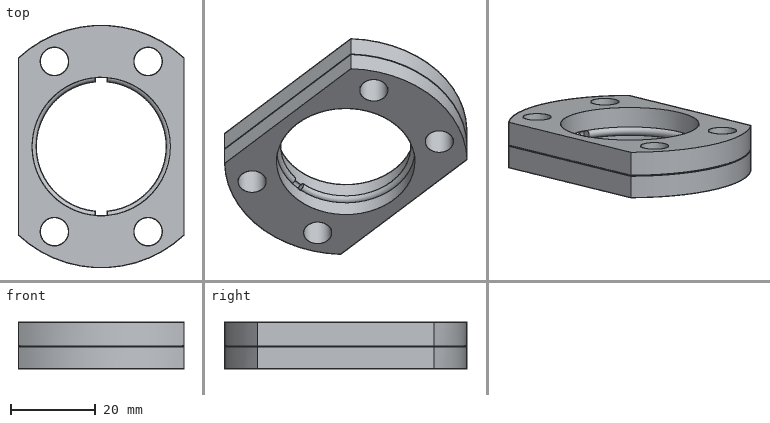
import cadquery as cq

disc_diameter = 57.0
width_across_flats = 39.0
thickness = 11.0
bore_diameter = 32.5

hole_diameter = 6.6
hole_spacing_x = 22.0
hole_spacing_y = 40.0

parting_height = 5.3
parting_groove_width = 0.2
parting_groove_depth = 0.5

ring_radius = bore_diameter / 2
wire_radius = 1.0
ring_gap_half_angle = 5.0
ring_gap_centres = (90.0, 270.0)
ring_arc_angle = 180.0 - 2 * ring_gap_half_angle


def flatted_disc(diameter, across_flats, height):
    """Disc standing on Z = 0 with flats facing -X and +X."""
    disc = cq.Workplane("XY").circle(diameter / 2).extrude(height)
    slab = cq.Workplane("XY").rect(across_flats, diameter).extrude(height)
    return disc.intersect(slab)


def flange_body():
    body = flatted_disc(disc_diameter, width_across_flats, thickness)
    bore = cq.Workplane("XY").circle(bore_diameter / 2).extrude(thickness)
    holes = (
        cq.Workplane("XY")
        .rect(hole_spacing_x, hole_spacing_y, forConstruction=True)
        .vertices()
        .circle(hole_diameter / 2)
        .extrude(thickness)
    )
    return body.cut(bore).cut(holes)


def parting_groove():
    """Thin band of material to remove around the whole outline."""
    outer = flatted_disc(disc_diameter, width_across_flats, parting_groove_width)
    core = flatted_disc(
        disc_diameter - 2 * parting_groove_depth,
        width_across_flats - 2 * parting_groove_depth,
        parting_groove_width,
    )
    return outer.cut(core).translate((0, 0, parting_height - parting_groove_width / 2))


def wire_arc(start_angle, sweep_angle):
    """Round wire swept about Z, counter-clockwise from start_angle as measured from +X."""
    arc = (
        cq.Workplane("XZ")
        .center(ring_radius, parting_height)
        .circle(wire_radius)
        .revolve(sweep_angle, (-ring_radius, 0), (-ring_radius, 1))
    )
    return arc.rotate((0, 0, 0), (0, 0, 1), start_angle)


result = flange_body().cut(parting_groove())
for gap_centre in ring_gap_centres:
    result = result.union(wire_arc(gap_centre + ring_gap_half_angle, ring_arc_angle))
    result = result.cut(wire_arc(gap_centre - ring_gap_half_angle, 2 * ring_gap_half_angle))